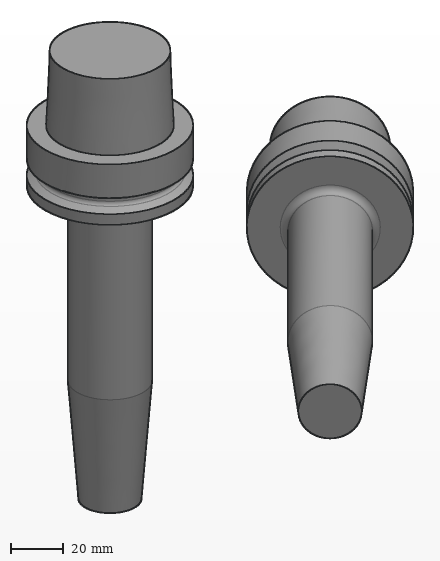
import cadquery as cq
import math

total_length = 192.0
taper_length = 32.0
flange_height = 26.0
nose_length = 50.9
flange_top = total_length - taper_length
flange_bottom = flange_top - flange_height

flange_radius = 63.0 / 2
groove_radius = 55.0 / 2
taper_top_radius = 45.7 / 2
taper_base_radius = 48.4 / 2
shank_radius = 32.0 / 2
tip_radius = 24.0 / 2

lower_rim_height = 4.6
groove_wall_angle = math.radians(30)
groove_round = 2.0
groove_opening = 7.0
groove_wall_height = (flange_radius - groove_radius) * math.tan(groove_wall_angle)
groove_bottom = flange_bottom + lower_rim_height
groove_top = groove_bottom + groove_opening
groove_floor_top = groove_top - groove_wall_height

groove_corner = groove_bottom + groove_wall_height
round_setback = groove_round * math.tan((math.pi / 2 - groove_wall_angle) / 2)
round_start_radius = groove_radius + round_setback * math.cos(groove_wall_angle)
round_start_height = groove_corner - round_setback * math.sin(groove_wall_angle)
round_end_height = groove_corner + round_setback

root_fillet = 2.9

profile = (
    cq.Workplane("XZ")
    .moveTo(0, 0)
    .lineTo(tip_radius, 0)
    .lineTo(shank_radius, nose_length)
    .lineTo(shank_radius, flange_bottom - root_fillet)
    .radiusArc((shank_radius + root_fillet, flange_bottom), root_fillet)
    .lineTo(flange_radius, flange_bottom)
    .lineTo(flange_radius, groove_bottom)
    .lineTo(round_start_radius, round_start_height)
    .radiusArc((groove_radius, round_end_height), groove_round)
    .lineTo(groove_radius, groove_floor_top)
    .lineTo(flange_radius, groove_top)
    .lineTo(flange_radius, flange_top)
    .lineTo(taper_base_radius, flange_top)
    .lineTo(taper_top_radius, total_length)
    .lineTo(0, total_length)
    .close()
)

result = profile.revolve(360, (0, 0, 0), (0, 1, 0))